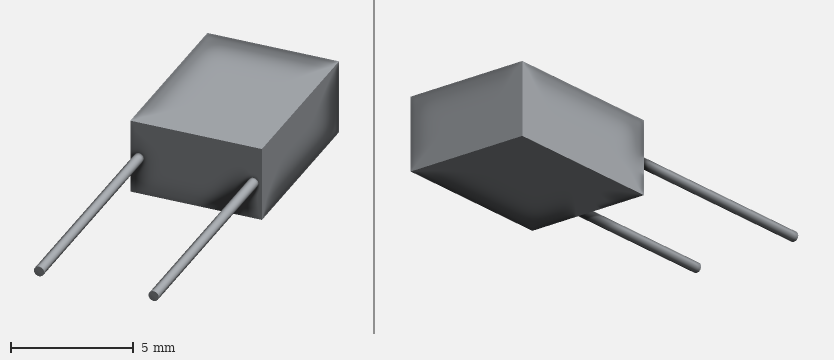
import cadquery as cq

case_width = 5.85
case_length = 7.86
case_height = 3.32

overall_length = 18.03
lead_length = overall_length - case_length
lead_diameter = 0.45
lead_spacing = 5.08


def make_case():
    """Block centred on X and Z, with its lead end on the plane Y = 0."""
    return cq.Workplane("XY").box(case_width, case_length, case_height, centered=(True, False, True))


def make_lead(x):
    """Round wire that butts against the case at Y = 0 and runs toward -Y."""
    return cq.Workplane("XZ").center(x, 0).circle(lead_diameter / 2).extrude(lead_length)


case = make_case()
leads = [make_lead(side * lead_spacing / 2) for side in (-1, 1)]

result = cq.Compound.makeCompound([case.val(), *[lead.val() for lead in leads]])